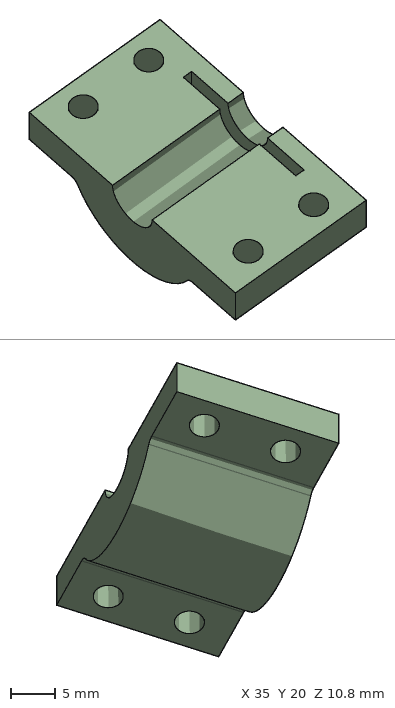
import cadquery as cq
import math

length = 35.0
width = 20.0
flange_thickness = 5.0
barrel_radius = 10.85
bore_radius = 3.35
root_fillet = 1.0

hole_diameter = 3.4
hole_spacing_x = 28.0
hole_spacing_y = 10.0
hole_offset_y = 0.1

slot_length = 19.08
slot_thickness = 1.25
slot_back_wall = 2.35
slot_end_depth = 4.0
slot_floor_drop = 3.8


def make_body():
    """Flat flange with a round barrel below it, blended along both roots."""
    flange = cq.Workplane("XY").box(length, width, flange_thickness, centered=(True, True, False))
    flange = flange.translate((0, 0, -flange_thickness))
    barrel = (
        cq.Workplane("XZ", origin=(0, width / 2, 0))
        .moveTo(-barrel_radius, 0)
        .threePointArc((0, -barrel_radius), (barrel_radius, 0))
        .close()
        .extrude(width)
    )
    root_x = math.sqrt(barrel_radius**2 - flange_thickness**2)
    body = flange.union(barrel)
    for side in (-1, 1):
        root = cq.selectors.NearestToPointSelector((side * root_x, 0, -flange_thickness))
        body = body.edges("|Y").edges(root).fillet(root_fillet)
    return body


def make_bore():
    return cq.Workplane("XZ", origin=(0, width / 2, 0)).circle(bore_radius).extrude(width)


def make_holes():
    return (
        cq.Workplane("XY", origin=(0, hole_offset_y, 0))
        .rect(hole_spacing_x, hole_spacing_y, forConstruction=True)
        .vertices()
        .circle(hole_diameter / 2)
        .extrude(-flange_thickness)
    )


def make_slot():
    """Cross slot with upright ends and a V-shaped floor, lowest at the bore axis."""
    half_length = slot_length / 2
    return (
        cq.Workplane("XZ", origin=(0, width / 2 - slot_back_wall, 0))
        .moveTo(-half_length, 0)
        .lineTo(-half_length, -slot_end_depth)
        .lineTo(0, -slot_end_depth - slot_floor_drop)
        .lineTo(half_length, -slot_end_depth)
        .lineTo(half_length, 0)
        .close()
        .extrude(slot_thickness)
    )


result = make_body().cut(make_bore()).cut(make_holes()).cut(make_slot())